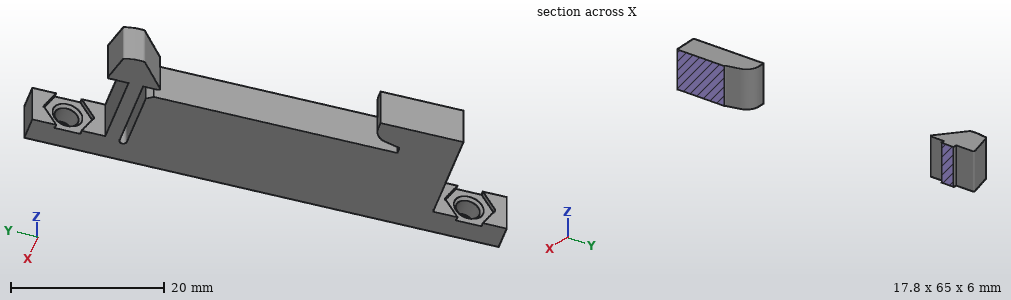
import math

import cadquery as cq

length = 65.03
width = 6.0
overall_depth = 17.84

plate_thickness = 3.5
hole_spacing = 55.0
hole_diameter = 3.3
countersink_diameter = 4.1
countersink_depth = 0.4
nut_across_flats = 6.0
nut_pocket_depth = 0.6

body_depth = 12.16
body_top = 52.03
body_chamfer_depth = 0.6
body_chamfer_length = 0.9

hook_depth = 16.64
hook_bottom = 10.1
hook_tip = 21.47
hook_gap_floor = 17.75
hook_tip_depth = 14.0
hook_foot_depth = 13.1
hook_tip_radius = 2.0
hook_foot_radius = 0.3

slot_width = 1.0
slot_end_depth = 2.9
slot_end_radius = slot_width / 2
slot_centre_depth = slot_end_depth + slot_end_radius
arm_thickness = 2.0
arm_bottom = body_top + slot_width
arm_top = arm_bottom + arm_thickness

head_inner_depth = 13.53
head_top = 57.97
head_bottom = 50.55
nose_bottom = 54.2
nose_top = 55.46
shoulder_depth = 17.58
shoulder_y = 57.0
head_corner_radius = 0.2
shoulder_radius = 0.3
nose_radius = 0.5


def rounded_outline(corners):
    """Closed wire through (x, y, radius) corners, with a tangent arc where the radius is not zero."""
    points = [cq.Vector(x, y) for x, y, _ in corners]
    spans = []
    for i, (_, _, radius) in enumerate(corners):
        corner = points[i]
        if radius == 0:
            spans.append((corner, None, corner))
            continue
        to_previous = (points[i - 1] - corner).normalized()
        to_next = (points[(i + 1) % len(points)] - corner).normalized()
        half_angle = to_previous.getAngle(to_next) / 2
        tangent_length = radius / math.tan(half_angle)
        bisector = (to_previous + to_next).normalized()
        middle = corner + bisector * (radius / math.sin(half_angle) - radius)
        spans.append((corner + to_previous * tangent_length, middle, corner + to_next * tangent_length))

    first_point = spans[0][0]
    outline = cq.Workplane("XY", origin=(0, 0, -width / 2)).moveTo(first_point.x, first_point.y)
    for i, (start, middle, end) in enumerate(spans):
        if i > 0:
            outline = outline.lineTo(start.x, start.y)
        if middle is not None:
            outline = outline.threePointArc((middle.x, middle.y), (end.x, end.y))
    return outline.close()


def clip_bar():
    """Whole bar: plate, hook, body, slot and barbed arm, extruded over the width."""
    plate = [(0, length, 0), (0, 0, 0), (-plate_thickness, 0, 0), (-plate_thickness, hook_bottom, 0)]
    hook = [
        (-hook_depth, hook_bottom, 0),
        (-hook_depth, hook_tip, 0),
        (-hook_tip_depth, hook_tip, hook_tip_radius),
        (-hook_foot_depth, hook_gap_floor, hook_foot_radius),
        (-body_depth, hook_gap_floor, 0),
    ]
    body = [
        (-body_depth, body_top - body_chamfer_length, 0),
        (-body_depth + body_chamfer_depth, body_top, 0),
        (-slot_centre_depth, body_top, 0),
    ]
    head = [
        (-head_inner_depth, arm_bottom, 0),
        (-head_inner_depth, head_bottom, head_corner_radius),
        (-overall_depth, nose_bottom, nose_radius),
        (-overall_depth, nose_top, 0),
        (-shoulder_depth, shoulder_y, shoulder_radius),
        (-head_inner_depth, head_top, head_corner_radius),
        (-head_inner_depth, arm_top, 0),
    ]
    arm_root = [(-slot_centre_depth, arm_bottom, 0)]
    plate_end = [(-plate_thickness, arm_top, 0), (-plate_thickness, length, 0)]
    bar = rounded_outline(plate + hook + body + arm_root + head + plate_end).extrude(width)
    return bar.cut(slot_end())


def slot_end():
    """Rounded inner end of the slot, reaching into the plate."""
    return (
        cq.Workplane("XY", origin=(-slot_centre_depth, body_top + slot_end_radius, -width / 2))
        .circle(slot_end_radius)
        .extrude(width)
    )


def screw_hole(y):
    """Through hole along X with a countersink at the floor of a hexagonal nut pocket."""
    pocket_floor = -plate_thickness + nut_pocket_depth
    pocket = (
        cq.Workplane("YZ", origin=(-plate_thickness, y, 0))
        .polygon(6, nut_across_flats / math.cos(math.pi / 6))
        .extrude(nut_pocket_depth)
    )
    hole = (
        cq.Workplane("YZ", origin=(-plate_thickness, y, 0))
        .circle(hole_diameter / 2)
        .extrude(plate_thickness)
    )
    countersink = cq.Workplane(
        cq.Solid.makeCone(
            countersink_diameter / 2,
            hole_diameter / 2,
            countersink_depth,
            cq.Vector(pocket_floor, y, 0),
            cq.Vector(1, 0, 0),
        )
    )
    return pocket.union(hole).union(countersink)


result = clip_bar()
for side in (-1, 1):
    result = result.cut(screw_hole(length / 2 + side * hole_spacing / 2))